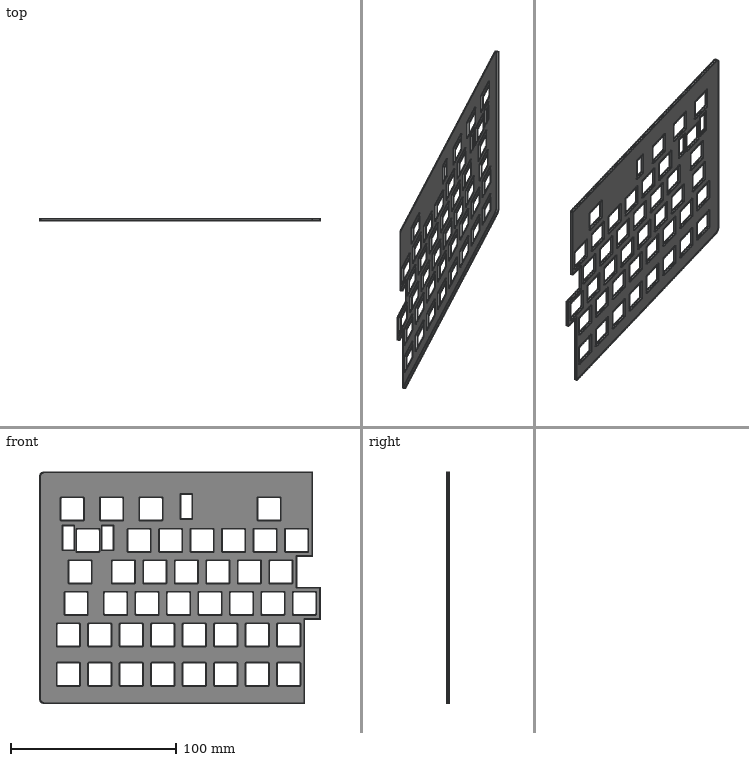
import cadquery as cq


plate_width = 169.8
plate_height = 140.0
thickness = 1.5
corner_radius = 3.0

row_span = 133.5
pitch = row_span / 7
web = 5.1
switch_size = pitch - web
switch_radius = 0.5

slot_width = 7.0
slot_height = 15.0
slot_rise = 1.5
wide_key_reach = 11.9
space_bar_reach = 50.0

ROWS = [
    (0.0, [0, 1, 2, 3, 4, 5, 6, 7]),
    (1.25, [0, 1, 2, 3, 4, 5, 6, 7]),
    (2.25, [0.25, 1.5, 2.5, 3.5, 4.5, 5.5, 6.5, 7.5]),
    (3.25, [0.375, 1.75, 2.75, 3.75, 4.75, 5.75, 6.75]),
    (4.25, [0.625, 2.25, 3.25, 4.25, 5.25, 6.25, 7.25]),
    (5.25, [0.125, 1.375, 2.625, 6.375]),
]
FULL_ROW, SHIFT_ROW, HOME_ROW, UPPER_ROW, SPACE_ROW = ROWS[1:]

first_key_x = plate_width - (SHIFT_ROW[1][-1] + 0.5) * pitch
first_key_z = 17.7


def key_x(column):
    return first_key_x + column * pitch


def key_z(row_height):
    return first_key_z + row_height * pitch


def right_edge(row):
    """X of the plate edge half a pitch past the last key of a row."""
    return key_x(row[1][-1] + 0.5)


def lower_edge(row):
    """Z of the line half a pitch below a row."""
    return key_z(row[0] - 0.5)


def extrude_through(sketch):
    """Extrude an XZ sketch through the plate thickness, toward +Y."""
    return sketch.extrude(-thickness)


def make_plate():
    """Plate whose right edge steps in and out along the ends of the rows."""
    outline = (
        cq.Workplane("XZ")
        .moveTo(0, 0)
        .lineTo(right_edge(FULL_ROW), 0)
        .lineTo(right_edge(FULL_ROW), lower_edge(SHIFT_ROW))
        .lineTo(right_edge(SHIFT_ROW), lower_edge(SHIFT_ROW))
        .lineTo(right_edge(SHIFT_ROW), lower_edge(HOME_ROW))
        .lineTo(right_edge(HOME_ROW), lower_edge(HOME_ROW))
        .lineTo(right_edge(HOME_ROW), lower_edge(UPPER_ROW))
        .lineTo(right_edge(UPPER_ROW), lower_edge(UPPER_ROW))
        .lineTo(right_edge(UPPER_ROW), plate_height)
        .lineTo(0, plate_height)
        .close()
    )
    return extrude_through(outline).edges("|Y and <X").fillet(corner_radius)


def make_switch_holes():
    """Square holes with rounded corners, one per key."""
    centres = [(key_x(column), key_z(height)) for height, columns in ROWS for column in columns]
    squares = cq.Workplane("XZ").pushPoints(centres).rect(switch_size, switch_size)
    return extrude_through(squares).edges("|Y").fillet(switch_radius)


def make_stabilizer_slots():
    """Sharp-cornered slots: a pair at the wide key, one at the space bar."""
    wide_key_x = key_x(UPPER_ROW[1][0])
    upper_z = key_z(UPPER_ROW[0]) + slot_rise
    space_bar_x = key_x(SPACE_ROW[1][-1])
    space_z = key_z(SPACE_ROW[0]) + slot_rise
    centres = [
        (wide_key_x - wide_key_reach, upper_z),
        (wide_key_x + wide_key_reach, upper_z),
        (space_bar_x - space_bar_reach, space_z),
    ]
    slots = cq.Workplane("XZ").pushPoints(centres).rect(slot_width, slot_height)
    return extrude_through(slots)


result = make_plate().cut(make_switch_holes()).cut(make_stabilizer_slots())